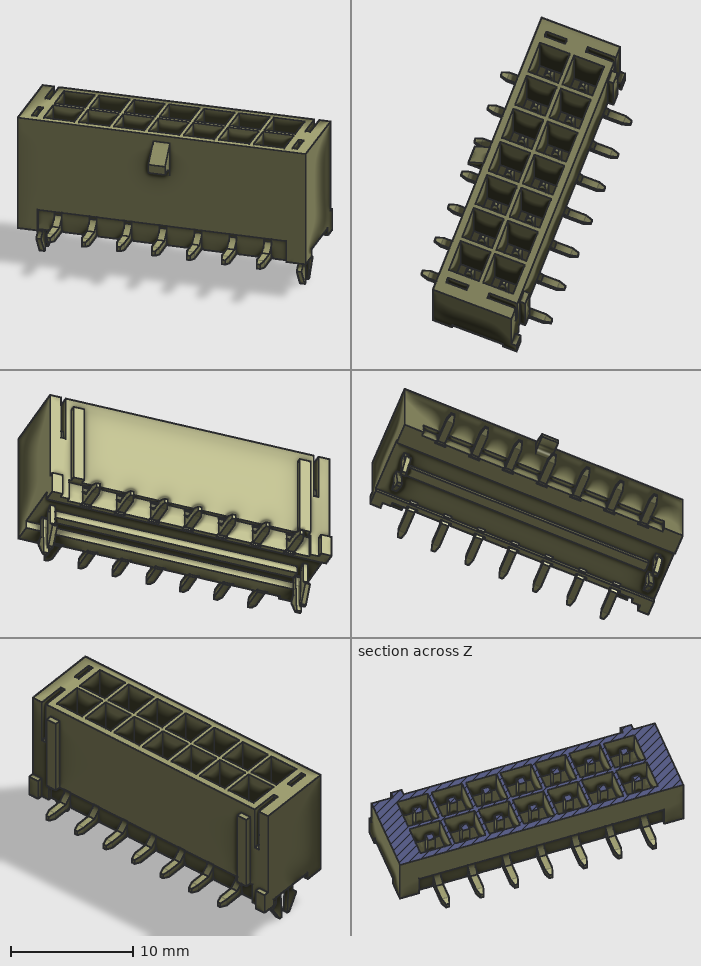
import cadquery as cq

HOUSING_X = 24.7
HOUSING_Y = 6.9
HOUSING_Z = 9.9
FRONT_Y = -HOUSING_Y / 2
REAR_Y = HOUSING_Y / 2

COLUMNS = 7
PITCH = 3.0
ROW_Y = PITCH / 2
COLUMN_XS = [(i - (COLUMNS - 1) / 2) * PITCH for i in range(COLUMNS)]
CAVITY_SIZE = 2.63
CAVITY_FLOOR_Z = 2.4

PIN = 0.64
PIN_TIP = 0.3
TAIL_TIP_Z = 0.4
PIN_TAPER = 0.6
PIN_TOP_Z = 7.0
TAIL_REACH_Y = 5.7
TAIL_LEG_Y = 2.95
TAIL_BEND_Y = 3.7
TAIL_ROOT_Y = TAIL_LEG_Y - PIN
TAIL_ROOT_Z = 2.0
TAIL_HEEL = 0.9
TAIL_BEND_RISE = TAIL_BEND_Y - TAIL_LEG_Y

RECESS_X = 21.35
RECESS_Z = 1.87
RECESS_DEPTH = 0.32
SLOT_TOP_Z = 1.8
SLOT_FLARE_X = 0.15
SLOT_FLARE_Z = 0.2

CHANNEL_FRONT_Y = -1.76
CHANNEL_REAR_Y = 2.7
CHANNEL_Z = 0.67
STANDOFF_FRONT_Y = -0.2
STANDOFF_REAR_Y = 0.54

FOOT_X = 0.93
FOOT_DEPTH = 0.46
RIB_X = 0.95
RIB_CENTER_X = 10.0
RIB_DEPTH = 0.5
RIB_TOP_Z = 8.87

LATCH_X = 1.43
LATCH_TOP_Z = 9.33
LATCH_NOSE_Y = FRONT_Y - 1.37
LATCH_NOSE_TOP_Z = 7.8
LATCH_NOSE_BOTTOM_Z = 7.07
LATCH_UNDERSIDE_Z = 7.15
LATCH_FILLET = 0.7

CLIP_X = 11.17
CLIP_THICKNESS = 0.42
CLIP_Y = 0.07
CLIP_BOTTOM_Z = -3.1
LEG_OUTER = 1.08
LEG_INNER = 0.51
LEG_ROOT_INNER = 0.78
LEG_ROOT_TAPER_Z = 0.35
BARB_TIP = 1.55
BARB_SHOULDER_Z = -1.13
BARB_TIP_Z = -1.63
LEG_TAPER_Z = -0.5
LEG_END_OUTER = 0.64
LEG_END_INNER = 0.35
CLIP_SLOT_FLOOR_Z = 5.9
CLIP_ARM_TOP_Z = 6.9
REAR_SLOT_START_Y = 0.97
REAR_ARM_YS = (1.6, 2.93)
FRONT_SLOT_YS = (-2.66, -0.85)
FRONT_ARM_YS = (-2.66, -1.46)


def box(x_range, y_range, z_range):
    """Axis-aligned box between the given limits, in either order."""
    spans = [sorted(x_range), sorted(y_range), sorted(z_range)]
    lengths = [high - low for low, high in spans]
    corner = [low for low, high in spans]
    return cq.Workplane("XY").box(*lengths, centered=False).translate(tuple(corner))


def around(center, width):
    """Limits of a span of the given width about a centre."""
    return (center - width / 2, center + width / 2)


def extrude_yz(points, center_x, width):
    """Closed Y-Z polygon extruded along X about center_x."""
    profile = cq.Workplane("YZ", origin=(center_x, 0, 0)).polyline(points).close()
    return profile.extrude(width / 2, both=True)


def tapered_tip(plane, end_height):
    """Pin tip that narrows outward from the plane to PIN_TIP by end_height."""
    start = cq.Workplane(plane).rect(PIN, PIN)
    return start.workplane(offset=PIN_TAPER).rect(PIN_TIP, end_height).loft(ruled=True)


def tail_slot(x):
    """Slot for one pin tail in the front wall, flared at its bottom edge."""
    half = PIN / 2
    flared = half + SLOT_FLARE_X
    points = [
        (-flared, 0),
        (-half, SLOT_FLARE_Z),
        (-half, SLOT_TOP_Z),
        (half, SLOT_TOP_Z),
        (half, SLOT_FLARE_Z),
        (flared, 0),
    ]
    profile = cq.Workplane("XZ", origin=(x, -TAIL_LEG_Y, 0)).polyline(points).close()
    return profile.extrude(-TAIL_LEG_Y - FRONT_Y)


def front_recess():
    """Recess along the front wall together with its pin tail slots."""
    cut = box(around(0, RECESS_X), (FRONT_Y, FRONT_Y + RECESS_DEPTH), (0, RECESS_Z))
    for x in COLUMN_XS:
        cut = cut.union(tail_slot(x))
    return cut


def contact_cavities():
    """Square cavities open at the housing top, one for each contact."""
    centers = [(x, y) for x in COLUMN_XS for y in (-ROW_Y, ROW_Y)]
    floor = cq.Workplane("XY", origin=(0, 0, CAVITY_FLOOR_Z)).pushPoints(centers)
    return floor.rect(CAVITY_SIZE, CAVITY_SIZE).extrude(HOUSING_Z - CAVITY_FLOOR_Z)


def clip_slots(side):
    """Clip slots at one end, less the clip arms standing up inside them."""
    x_range = around(side * CLIP_X, CLIP_THICKNESS)
    slot_z = (CLIP_SLOT_FLOOR_Z, HOUSING_Z)
    arm_z = (CLIP_SLOT_FLOOR_Z, CLIP_ARM_TOP_Z)
    rear_slot = box(x_range, (REAR_SLOT_START_Y, REAR_Y), slot_z)
    front_slot = box(x_range, FRONT_SLOT_YS, slot_z)
    rear_slot = rear_slot.cut(box(x_range, REAR_ARM_YS, arm_z))
    front_slot = front_slot.cut(box(x_range, FRONT_ARM_YS, arm_z))
    return rear_slot.union(front_slot)


def latch():
    """Ramp with a flat nose and a filleted underside."""
    wall_z = LATCH_UNDERSIDE_Z - LATCH_FILLET
    profile = (
        cq.Workplane("YZ")
        .moveTo(FRONT_Y, LATCH_TOP_Z)
        .lineTo(LATCH_NOSE_Y, LATCH_NOSE_TOP_Z)
        .lineTo(LATCH_NOSE_Y, LATCH_NOSE_BOTTOM_Z)
        .lineTo(FRONT_Y - LATCH_FILLET, LATCH_UNDERSIDE_Z)
        .radiusArc((FRONT_Y, wall_z), LATCH_FILLET)
        .close()
    )
    return profile.extrude(LATCH_X / 2, both=True)


def rear_details(side):
    """Foot and polarising rib on one half of the rear wall."""
    end_x = side * HOUSING_X / 2
    foot = box(
        (end_x, end_x - side * FOOT_X),
        (CHANNEL_REAR_Y, REAR_Y + FOOT_DEPTH),
        (0, RECESS_Z),
    )
    rib = box(
        around(side * RIB_CENTER_X, RIB_X),
        (REAR_Y, REAR_Y + RIB_DEPTH),
        (RECESS_Z, RIB_TOP_Z),
    )
    return foot.union(rib)


def housing():
    """Housing with cavities, recesses, channel, latch, feet and ribs."""
    body = box(around(0, HOUSING_X), (FRONT_Y, REAR_Y), (0, HOUSING_Z))
    channel = box(
        around(0, HOUSING_X), (CHANNEL_FRONT_Y, CHANNEL_REAR_Y), (0, CHANNEL_Z)
    )
    standoff = box(
        around(0, RECESS_X), (STANDOFF_FRONT_Y, STANDOFF_REAR_Y), (0, CHANNEL_Z)
    )
    recess = front_recess()
    body = body.cut(channel).union(standoff)
    body = body.cut(recess).cut(recess.mirror("XZ"))
    body = body.cut(contact_cavities()).union(latch())
    for side in (-1, 1):
        body = body.union(rear_details(side)).cut(clip_slots(side))
    return body


def pin_tail(x):
    """Front tail of one pin: leg in the wall, sloped bend and horizontal foot."""
    taper_y = TAIL_REACH_Y - PIN_TAPER
    points = [
        (-TAIL_ROOT_Y - TAIL_HEEL, 0),
        (-TAIL_ROOT_Y, TAIL_HEEL),
        (-TAIL_ROOT_Y, TAIL_ROOT_Z),
        (-TAIL_LEG_Y, TAIL_ROOT_Z),
        (-TAIL_LEG_Y, PIN + TAIL_BEND_RISE),
        (-TAIL_BEND_Y, PIN),
        (-taper_y, PIN),
        (-taper_y, 0),
    ]
    tip_plane = cq.Plane((x, -taper_y, PIN / 2), (1, 0, 0), (0, -1, 0))
    return extrude_yz(points, x, PIN).union(tapered_tip(tip_plane, TAIL_TIP_Z))


def contact(x):
    """Front-row contact: upright pin in its cavity and the tail below."""
    taper_z = PIN_TOP_Z - PIN_TAPER
    upright = box(around(x, PIN), around(-ROW_Y, PIN), (CAVITY_FLOOR_Z, taper_z))
    tip = tapered_tip(cq.Plane((x, -ROW_Y, taper_z)), PIN_TIP)
    return upright.union(tip).union(pin_tail(x))


def clip_leg(side_x, side_y):
    """One barbed leg of a board clip."""
    half_profile = [
        (LEG_ROOT_INNER, CHANNEL_Z),
        (LEG_OUTER, CHANNEL_Z),
        (LEG_OUTER, BARB_SHOULDER_Z),
        (BARB_TIP, BARB_TIP_Z),
        (LEG_END_OUTER, CLIP_BOTTOM_Z),
        (LEG_END_INNER, CLIP_BOTTOM_Z),
        (LEG_INNER, LEG_TAPER_Z),
        (LEG_INNER, LEG_ROOT_TAPER_Z),
    ]
    points = [(CLIP_Y + side_y * y, z) for y, z in half_profile]
    return extrude_yz(points, side_x * CLIP_X, CLIP_THICKNESS)


result = housing()
for column_x in COLUMN_XS:
    front_contact = contact(column_x)
    result = result.union(front_contact).union(front_contact.mirror("XZ"))
for end in (-1, 1):
    for leg in (-1, 1):
        result = result.union(clip_leg(end, leg))